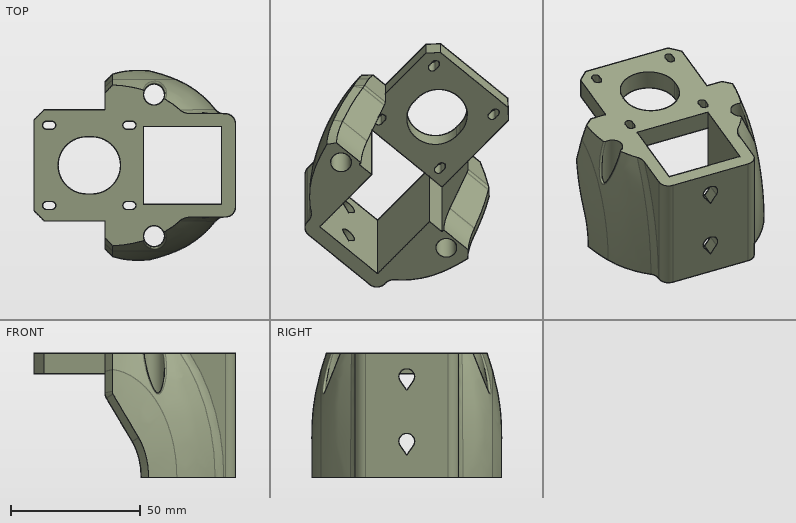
import math

import cadquery as cq

height = 48.0
total_length = 77.9

plate_width = 43.0
plate_thickness = 8.0
plate_corner = 4.0
motor_x = 21.4
motor_hole_dia = 22.0
screw_spacing = 31.0
screw_dia = 3.0
adjust_travel = 2.0

window_size = 30.0
window_front = 42.4
tube_width = 40.0
tube_corner_radius = 4.0
tube_rear_wall = total_length - window_front - window_size

teardrop_radius = 3.0
teardrop_tip = 5.3
teardrop_heights = (-9.0, -34.0)

cheek_front = 27.4
cheek_corner_z = -16.4
cheek_corner_radius = 4.0
cheek_chamfer = 3.0
cheek_inner_y = tube_width / 2 - tube_corner_radius
arch_radius = 13.4
dome_x = 28.0
dome_stretch = 1.54
dome_crown_y = 38.52
dome_crown_radius = 70.5
dome_seam_radius = 27.2
dome_flank_radius = 36.2
dome_blend = 4.2
foot_middle_x = 65.0

cheek_hole_dia = 8.0
cheek_hole_x = 46.4
cheek_hole_y = 27.35
cheek_hole_rounding = 0.6


def make_plate():
    """Motor plate with chamfered free corners, reaching back to the window."""
    plate = cq.Workplane("XY").box(
        window_front, plate_width, plate_thickness, centered=(False, True, False)
    )
    plate = plate.translate((0, 0, -plate_thickness))
    return plate.edges("|Z and <X").chamfer(plate_corner)


def make_tube():
    """Outer block of the tube, rounded at its rear corners and still solid inside."""
    length = total_length - window_front
    tube = cq.Workplane("XY").box(length, tube_width, height, centered=(False, True, False))
    tube = tube.translate((window_front, 0, -height))
    return tube.edges("|Z and >X").fillet(tube_corner_radius)


def arc_point(center, radius, angle):
    """Point on a circle, with the angle turned from vertical towards the right."""
    return (center[0] + radius * math.sin(angle), center[1] + radius * math.cos(angle))


def stretch_dome_axis(shape):
    """Stretch a shape built around the Y axis along Z and move it onto the dome axis."""
    stretch = cq.Matrix([[1, 0, 0, dome_x], [0, 1, 0, 0], [0, 0, dome_stretch, -height]])
    return cq.Workplane(obj=shape.transformGeometry(stretch))


def make_dome():
    """Dome with a two-arc meridian, turned about Y and stretched along Z."""
    seam_angle = math.asin(dome_seam_radius / dome_crown_radius)
    crown_center = (0, dome_crown_y - dome_crown_radius)
    seam = arc_point(crown_center, dome_crown_radius, seam_angle)
    flank_center = arc_point(seam, -dome_flank_radius, seam_angle)
    rim_angle = math.acos((cheek_inner_y - flank_center[1]) / dome_flank_radius)
    meridian = (
        cq.Workplane("XY")
        .moveTo(0, cheek_inner_y)
        .lineTo(0, dome_crown_y)
        .threePointArc(arc_point(crown_center, dome_crown_radius, seam_angle / 2), seam)
        .threePointArc(
            arc_point(flank_center, dome_flank_radius, (seam_angle + rim_angle) / 2),
            arc_point(flank_center, dome_flank_radius, rim_angle),
        )
        .close()
    )
    return stretch_dome_axis(meridian.revolve(360, (0, 0, 0), (0, 1, 0)).val())


def nearest(point):
    """Selector for the one edge whose middle lies closest to a point."""
    return cq.selectors.NearestToPointSelector(point)


def make_cheek_block():
    """Cheek outline from the side: upright front, tangent slope, then an elliptical arch."""
    front = cheek_front - dome_x
    top = height / dome_stretch
    corner_height = (cheek_corner_z + height) / dome_stretch
    corner_angle = math.atan2(front, corner_height)
    tangent_angle = corner_angle + math.acos(arch_radius / math.hypot(front, corner_height))
    origin = (0, 0)
    arch_start = arc_point(origin, arch_radius, tangent_angle)
    arch_middle = arc_point(origin, arch_radius, (tangent_angle + math.pi / 2) / 2)
    rear = total_length - dome_x
    outline = (
        cq.Workplane("XZ", origin=(0, cheek_inner_y, 0))
        .moveTo(front, top)
        .lineTo(front, corner_height)
        .lineTo(*arch_start)
        .threePointArc(arch_middle, (arch_radius, 0))
        .lineTo(rear, 0)
        .lineTo(rear, top)
        .close()
    )
    block = stretch_dome_axis(outline.extrude(-dome_crown_y).val())
    corner = (cheek_front, (cheek_inner_y + dome_crown_y) / 2, cheek_corner_z)
    return block.edges(nearest(corner)).fillet(cheek_corner_radius)


def make_cheek():
    """Dome trimmed to the cheek outline, chamfered along its front and underside."""
    cheek = make_dome().intersect(make_cheek_block())
    rim_front = (cheek_front, dome_crown_y, cheek_corner_z / 2)
    return cheek.edges(nearest(rim_front)).chamfer(cheek_chamfer)


def make_cheek_drill():
    """Cutter for the vertical hole through a cheek."""
    drill = cq.Workplane("XY", origin=(cheek_hole_x, cheek_hole_y, -height))
    return drill.circle(cheek_hole_dia / 2).extrude(height)


def add_cheek(tube):
    """Join one cheek to the tube, blend it into the tube side and drill it from above."""
    body = tube.union(make_cheek())
    foot_middle = (foot_middle_x, tube_width / 2, -height / 2)
    body = body.edges(nearest(foot_middle)).fillet(dome_blend)
    body = body.cut(make_cheek_drill())
    hole_radius = cheek_hole_dia / 2
    breakout = cq.selectors.BoxSelector(
        (cheek_hole_x - hole_radius, cheek_hole_y - hole_radius, -height / 2),
        (cheek_hole_x + hole_radius, cheek_hole_y + hole_radius, -cheek_hole_rounding),
    )
    return body.edges(breakout).fillet(cheek_hole_rounding)


def cut_tube(body):
    """Open the tube window and the motor space in front of it, below the plate."""
    window = cq.Workplane("XY", origin=(window_front, 0, -height / 2)).box(
        window_size, window_size, height, centered=(False, True, True)
    )
    motor_space = cq.Workplane("XY", origin=(0, 0, -height)).box(
        window_front, plate_width, height - plate_thickness, centered=(False, True, False)
    )
    return body.cut(window).cut(motor_space)


def cut_motor_mount(body):
    """Elongated motor opening and its four screw slots, all adjustable along X."""
    opening = cq.Workplane("XY", origin=(motor_x, 0, -plate_thickness))
    opening = opening.slot2D(motor_hole_dia + adjust_travel, motor_hole_dia)
    slots = (
        cq.Workplane("XY", origin=(motor_x, 0, -plate_thickness))
        .rect(screw_spacing, screw_spacing, forConstruction=True)
        .vertices()
        .slot2D(screw_dia + adjust_travel, screw_dia)
    )
    return body.cut(opening.extrude(plate_thickness)).cut(slots.extrude(plate_thickness))


def cut_teardrops(body):
    """Teardrop holes through the rear wall, with their points down."""
    tangent_y = teardrop_radius * math.sqrt(1 - (teardrop_radius / teardrop_tip) ** 2)
    tangent_z = -teardrop_radius**2 / teardrop_tip
    for z in teardrop_heights:
        wall_plane = cq.Workplane("YZ", origin=(total_length - tube_rear_wall, 0, z))
        outline = (
            wall_plane.moveTo(0, -teardrop_tip)
            .lineTo(tangent_y, tangent_z)
            .threePointArc((0, teardrop_radius), (-tangent_y, tangent_z))
            .close()
        )
        body = body.cut(outline.extrude(tube_rear_wall))
    return body


def make_part():
    """Both halves mirrored about y = 0, joined to the plate and cut out."""
    half = add_cheek(make_tube())
    body = half.union(half.mirror("XZ")).union(make_plate())
    body = cut_tube(body)
    body = cut_motor_mount(body)
    return cut_teardrops(body)


result = make_part()